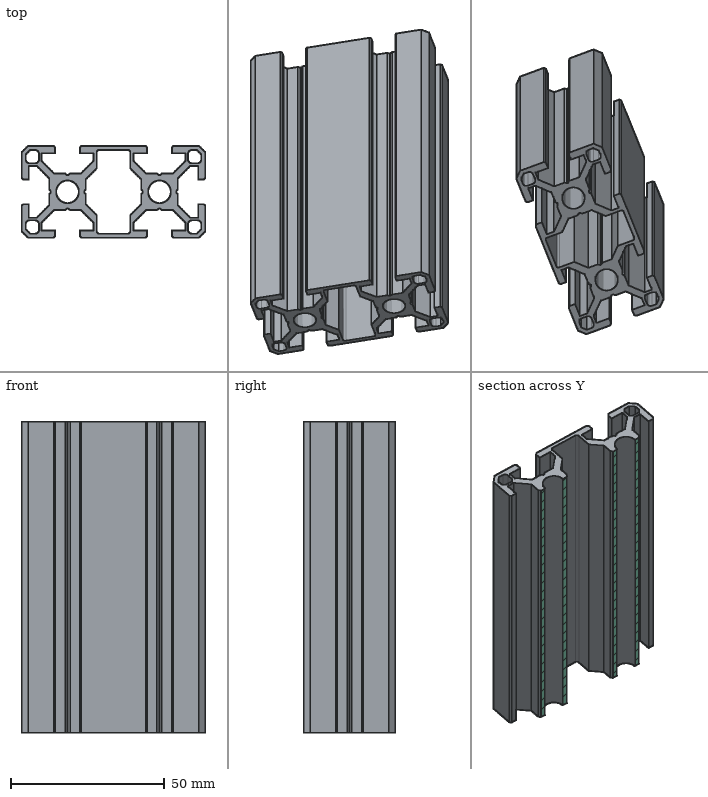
import cadquery as cq

length = 101.6
width = 60.0
cell = width / 2
half_cell = cell / 2
corner_chamfer = 2.1

mouth_width = 8.0
mouth_half = mouth_width / 2
lip_thickness = 2.4
lip_chamfer = 0.5
pocket_half = 8.4
floor_distance = 6.0
slot_diagonal = 1.6
notch_half = 0.8
notch_bottom_half = 0.15
notch_depth = 0.5

core_radius = 3.7
corner_hole_size = 4.3
corner_hole_offset = 11.5
corner_hole_chamfer = 1.4
corner_hole_fillet = 1.2
cavity_wall = 9.5
cavity_half_height = 13.6
cavity_diagonal = 1.9
cavity_fillet = 0.7


def mirrored(half_outline):
    """Complete an outline that is symmetric about the Y axis from its +X half."""
    return half_outline + [(-x, y) for x, y in reversed(half_outline)]


def prism(outline):
    """Extrude a closed outline over the full length."""
    return cq.Workplane("XY").polyline(outline).close().extrude(length)


def t_slot():
    """Slot cutter opening toward +Y, centred on the origin of its cell."""
    lip_bottom = half_cell - lip_thickness
    outline = mirrored([
        (notch_bottom_half, floor_distance - notch_depth),
        (notch_half, floor_distance),
        (floor_distance - slot_diagonal, floor_distance),
        (pocket_half, pocket_half + slot_diagonal),
        (pocket_half, lip_bottom),
        (mouth_half, lip_bottom),
        (mouth_half, half_cell - lip_chamfer),
        (mouth_half + lip_chamfer, half_cell),
    ])
    return prism(outline)


def corner_hole():
    """Rounded square hole for the +X +Y corner, cut off toward the outer corner."""
    hole = cq.Workplane("XY").rect(corner_hole_size, corner_hole_size).extrude(length)
    hole = hole.edges("|Z").edges(">(1, 1, 0)").chamfer(corner_hole_chamfer)
    hole = hole.edges("|Z").edges("<X or <Y").fillet(corner_hole_fillet)
    return hole.translate((half_cell + corner_hole_offset, corner_hole_offset, 0))


def central_cavity():
    """Through cavity between the two cores, widened toward each of them."""
    side = half_cell - cavity_wall
    core_side = half_cell - floor_distance
    core_half = floor_distance - cavity_diagonal
    shoulder = cavity_wall - cavity_diagonal
    box = cq.Workplane("XY").rect(2 * side, 2 * cavity_half_height).extrude(length)
    box = box.edges("|Z").fillet(cavity_fillet)
    waist = mirrored([
        (side, shoulder),
        (core_side, core_half),
        (core_side, notch_half),
        (core_side + notch_depth, notch_bottom_half),
        (core_side + notch_depth, -notch_bottom_half),
        (core_side, -notch_half),
        (core_side, -core_half),
        (side, -shoulder),
    ])
    return box.union(prism(waist))


result = cq.Workplane("XY").rect(width, cell).extrude(length)
result = result.edges("|Z").chamfer(corner_chamfer)

slot = t_slot()
for side, end_angle in ((-1, 90), (1, -90)):
    centre = (side * half_cell, 0, 0)
    for angle in (0, 180, end_angle):
        result = result.cut(slot.rotate((0, 0, 0), (0, 0, 1), angle).translate(centre))
    bore = cq.Workplane("XY").circle(core_radius).extrude(length)
    result = result.cut(bore.translate(centre))

hole = corner_hole()
hole_pair = hole.union(hole.mirror("YZ"))
result = result.cut(hole_pair).cut(hole_pair.mirror("XZ"))

result = result.cut(central_cavity())